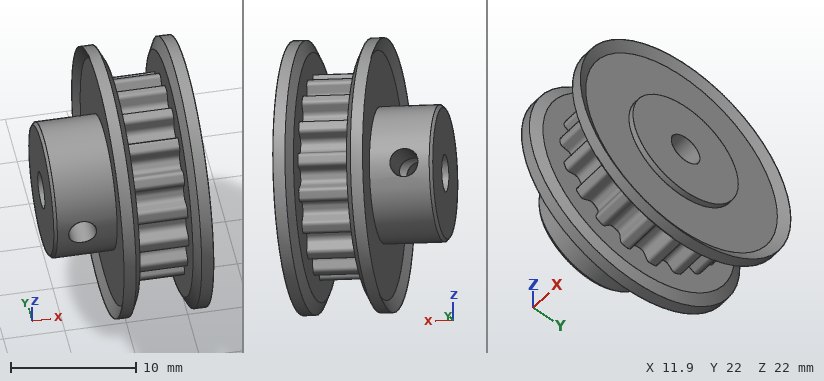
import cadquery as cq
import math


flange_radius = 11.0
dish_floor_radius = 10.0
dish_depth = 0.5
sheet_thickness = 1.0
flange_length = sheet_thickness + dish_depth

hub_radius = 5.5
hub_length = 4.6
hub_chamfer = 0.25
neck_radius = hub_radius
bore_radius = 1.5
set_screw_hole_diameter = 2.27

tooth_count = 18
tooth_pitch_angle = 360 / tooth_count
tip_radius = 8.2
root_radius = 7.08
tooth_length = 4.31
groove_floor_width = 0.97
groove_flank_angle = 23.0
root_fillet = 0.5
tip_fillet = 0.33

left_flange_start = hub_length
teeth_start = left_flange_start + flange_length
teeth_end = teeth_start + tooth_length
pulley_end = teeth_end + flange_length


def x_cylinder(radius, start, end):
    return cq.Workplane("YZ").workplane(offset=start).circle(radius).extrude(end - start)


def make_groove_cutter():
    """Trapezoidal groove at the +Z side, with rounded floor corners."""
    cutter_top = tip_radius + root_fillet
    floor_half = groove_floor_width / 2
    top_half = floor_half + (cutter_top - root_radius) * math.tan(math.radians(groove_flank_angle))
    return (
        cq.Workplane("YZ")
        .workplane(offset=teeth_start)
        .moveTo(-floor_half, root_radius)
        .lineTo(floor_half, root_radius)
        .lineTo(top_half, cutter_top)
        .lineTo(-top_half, cutter_top)
        .close()
        .extrude(tooth_length)
        .edges("|X and <Z")
        .fillet(root_fillet)
    )


def make_toothed_rim():
    rim = x_cylinder(tip_radius, teeth_start, teeth_end).rotate((0, 0, 0), (1, 0, 0), 90)
    cutter = make_groove_cutter()
    for index in range(tooth_count):
        rim = rim.cut(cutter.rotate((0, 0, 0), (1, 0, 0), index * tooth_pitch_angle))

    mid_radius = (tip_radius + root_radius) / 2

    def is_tooth_corner(edge):
        center = edge.Center()
        return math.hypot(center.y, center.z) > mid_radius

    return rim.edges("|X").filter(is_tooth_corner).fillet(tip_fillet)


def make_pulley():
    hub = x_cylinder(hub_radius, 0, hub_length).faces("<X").chamfer(hub_chamfer)
    core = x_cylinder(neck_radius, hub_length, pulley_end)
    body = hub.union(core).union(make_toothed_rim())

    bore = x_cylinder(bore_radius, 0, pulley_end)
    set_screw_hole = (
        cq.Workplane("XZ")
        .center(hub_length / 2, 0)
        .circle(set_screw_hole_diameter / 2)
        .extrude(hub_radius, both=True)
    )
    return body.cut(bore).cut(set_screw_hole)


def make_flange(outer_face, inward):
    """Dished ring with its rim at X = outer_face; inward is +1 or -1, toward the teeth."""
    web_outer = outer_face + inward * dish_depth
    rim_inner = outer_face + inward * sheet_thickness
    web_inner = outer_face + inward * flange_length
    return (
        cq.Workplane("XY")
        .moveTo(web_outer, neck_radius)
        .lineTo(web_outer, dish_floor_radius)
        .lineTo(outer_face, flange_radius)
        .lineTo(rim_inner, flange_radius)
        .lineTo(web_inner, dish_floor_radius)
        .lineTo(web_inner, neck_radius)
        .close()
        .revolve(360, (0, 0, 0), (1, 0, 0))
    )


pulley = make_pulley()
flange_seats = [(left_flange_start, 1), (pulley_end, -1)]
flanges = [make_flange(outer_face, inward) for outer_face, inward in flange_seats]

result = cq.Compound.makeCompound([pulley.val(), *[flange.val() for flange in flanges]])